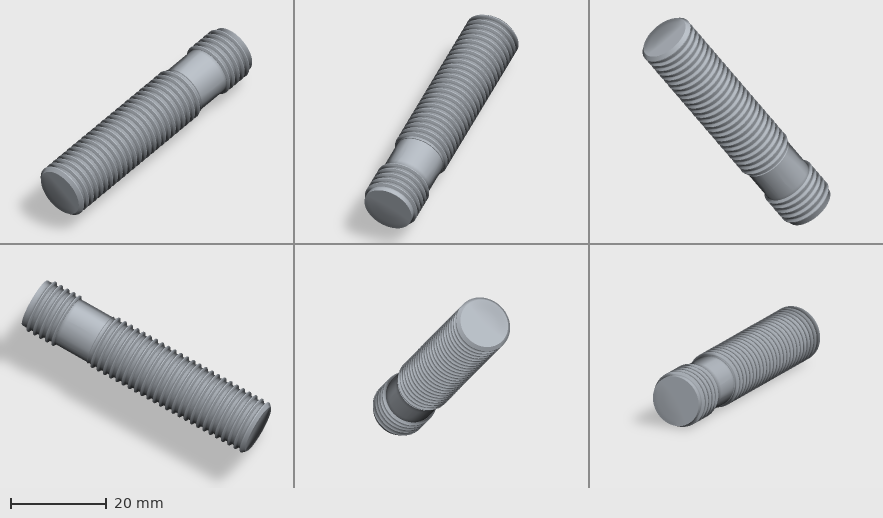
import cadquery as cq

length = 54.5
crest_radius = 6.0
root_radius = 5.4

crest_width = 0.15
ridge_base_width = 0.85
front_chamfer = 0.7
front_ridge_count = 25
first_front_crest = 0.8
last_front_crest = 37.3
back_ridge_count = 5
first_back_crest = 46.8
last_back_crest = 52.9

neck_start = 38.5
neck_end = 46.45

window_position = 43.3
window_diameter = 2.95
window_depth = 0.55
face_insert_radius = 4.9
face_insert_depth = 0.55


def cylinder_along_y(radius, start, end):
    return cq.Workplane("XZ", origin=(0, start, 0)).circle(radius).extrude(start - end)


def ridge_positions(first, last, count):
    pitch = (last - first) / (count - 1)
    return [first + i * pitch for i in range(count)]


def ridge_outline(position):
    """Points of one trapezoidal ridge, from its front root to its back root."""
    return [
        (root_radius, position - ridge_base_width / 2),
        (crest_radius, position - crest_width / 2),
        (crest_radius, position + crest_width / 2),
        (root_radius, position + ridge_base_width / 2),
    ]


def make_body():
    front_crests = ridge_positions(first_front_crest, last_front_crest, front_ridge_count)
    front_pitch = front_crests[1] - front_crests[0]
    front_crests.append(front_crests[-1] + front_pitch)
    back_crests = ridge_positions(first_back_crest, last_back_crest, back_ridge_count)

    outline = [(0, 0), (crest_radius - front_chamfer, 0), (crest_radius, front_chamfer)]
    outline += ridge_outline(front_crests[0])[2:]
    for crest in front_crests[1:] + back_crests:
        outline += ridge_outline(crest)
    outline += [(root_radius, length), (0, length)]
    body = cq.Workplane("XY").polyline(outline).close().revolve(360, (0, 0, 0), (0, 1, 0))

    neck_cutter = cylinder_along_y(2 * crest_radius, neck_start, neck_end)
    neck = cylinder_along_y(root_radius, neck_start, neck_end)
    return body.cut(neck_cutter.cut(neck))


def add_flush_insert(body, insert):
    """Set an insert level with the surface, keeping its rim as an edge."""
    flush_insert = body.intersect(insert, clean=False)
    return body.cut(insert, clean=False).union(flush_insert, clean=False)


def make_window(angle):
    window = (
        cq.Workplane("XY", origin=(0, window_position, root_radius - window_depth))
        .circle(window_diameter / 2)
        .extrude(2 * window_depth)
    )
    return window.rotate((0, 0, 0), (0, 1, 0), angle)


result = make_body()
result = add_flush_insert(result, cylinder_along_y(face_insert_radius, 0, face_insert_depth))
for angle in (0, 90, 180, 270):
    result = add_flush_insert(result, make_window(angle))